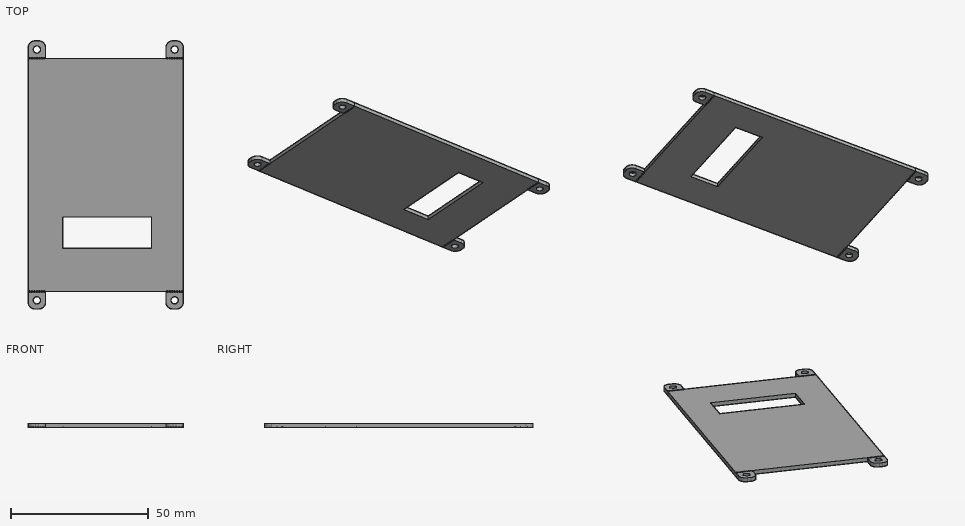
import cadquery as cq

total_length = 97.5
width = 56.5
thickness = 1.6
body_length = 84.8

tab_width = 6.4
tab_corner_radius = 2.6
tab_length = (total_length - body_length) / 2
tab_center_x = (width - tab_width) / 2
screw_hole_diameter = 2.5
screw_hole_inset = 3.2

perforation_diameter = 0.5
perforation_count = 7
perforation_pitch = 0.9
perforation_row_y = body_length / 2

window_length = 32.2
window_width = 11.2
window_center_x = 0.5
window_center_y = -21.0


def tab(x_side, y_side):
    """Tab with two rounded outer corners, slightly overlapping the body."""
    overlap = tab_length / 2
    root_y = body_length / 2 - overlap
    blank = (
        cq.Workplane("XY")
        .center(x_side * tab_center_x, y_side * (root_y + total_length / 2) / 2)
        .rect(tab_width, tab_length + overlap)
        .extrude(thickness)
    )
    outer_corners = "|Z and >Y" if y_side > 0 else "|Z and <Y"
    return blank.edges(outer_corners).fillet(tab_corner_radius)


sides = [(x_side, y_side) for x_side in (-1, 1) for y_side in (-1, 1)]

result = cq.Workplane("XY").rect(width, body_length).extrude(thickness)
for x_side, y_side in sides:
    result = result.union(tab(x_side, y_side))

screw_hole_y = total_length / 2 - screw_hole_inset
screw_holes = (
    cq.Workplane("XY")
    .pushPoints([(x_side * tab_center_x, y_side * screw_hole_y) for x_side, y_side in sides])
    .circle(screw_hole_diameter / 2)
    .extrude(thickness)
)
result = result.cut(screw_holes)

for x_side, y_side in sides:
    perforations = (
        cq.Workplane("XY")
        .center(x_side * tab_center_x, y_side * perforation_row_y)
        .rarray(perforation_pitch, 1, perforation_count, 1)
        .circle(perforation_diameter / 2)
        .extrude(thickness)
    )
    result = result.cut(perforations)

window = (
    cq.Workplane("XY")
    .center(window_center_x, window_center_y)
    .rect(window_length, window_width)
    .extrude(thickness)
)
result = result.cut(window)